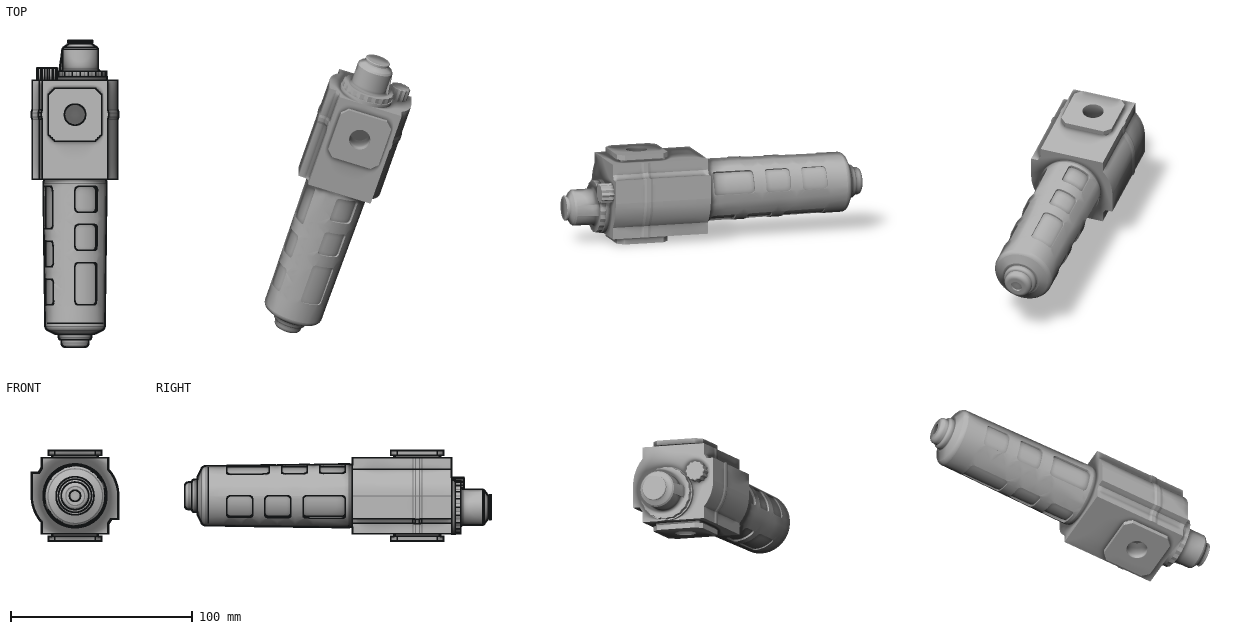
import cadquery as cq
import math


housing_rear_y = 19.0
housing_front_y = -35.8
housing_half_height = 21.0
waist_half_width = 18.1
wing_half_width = 23.7
wing_top_z = 12.5
wing_root_z = 15.1
wing_root_width = 1.7
arc_end_z = 14.5

band_height = 0.42
band_crest_half_width = 1.1
band_base_half_width = 2.5

plate_size = 29.3
plate_thickness = 2.7
plate_corner_chamfer = 3.5
neck_size = 25.8
neck_height = 1.4
neck_corner_chamfer = 0.7
port_diameter = 11.7
port_depth = 13.5

guard_collar_radius = 17.1
guard_rear_radius = 17.6
guard_front_radius = 16.6
guard_collar_length = 2.0
guard_shoulder_y = -116.8
guard_shoulder_mid_radius = 16.1
guard_shoulder_mid_y = -118.2
guard_cone_radius = 15.1
guard_cone_y = -119.2
guard_end_radius = 10.5
guard_end_y = -121.4

window_rows = 4
window_angle = 45.0
window_start_y = -39.7
window_short = 14.2
window_long = 23.4
window_gap = 6.8
window_corner_radius = 2.0
window_cutter_margin = 1.7

bowl_radius = 16.1
bowl_shoulder_y = -115.3
drain_collar_radius = 9.2
drain_nose_radius = 7.6
drain_collar_fillet = drain_collar_radius - drain_nose_radius
drain_nose_fillet = 2.4
drain_nose_start_y = -124.5
drain_tip_y = -128.5
drain_hole_diameter = 6.1
drain_hole_depth = 1.0

dome_x = 2.9
dome_z = -6.3
dome_base_radius = 15.0
dome_ring_radius = 14.5
dome_ring_valley = 14.0
dome_ring_teeth = 20
dome_ring_start_y = 21.0
dome_ring_end_y = 24.0
dome_radius = 10.0
dome_root_fillet = 1.2
dome_round_y = 36.1
dome_cone_radius = 9.3
dome_cone_y = 37.1
dome_neck_radius = 6.5
dome_neck_y = 39.2
dome_lip_radius = 7.0
dome_lip_y = 40.0
dome_lip_chamfer = 0.3
dome_end_y = 41.0

pointer_angle = 33.0
pointer_foot_radius = 11.7

plug_x = -15.5
plug_z = 4.5
plug_radius = 5.6
plug_valley = 5.0
plug_teeth = 12
plug_end_y = 26.0
plug_end_chamfer = 0.3


def extrude_along_y(outline, y_start, y_end):
    """Extrude an outline drawn on the XZ plane from y_start forward to y_end."""
    return outline.extrude(y_start - y_end).translate((0, y_start, 0))


def flank_outline(offset):
    """Housing section on XZ with both flanks moved outward by the offset; it has half-turn symmetry."""
    waist = waist_half_width + offset
    wing = wing_half_width + offset
    step_z = wing_top_z + offset
    root_z = wing_root_z + offset
    root_x = waist + wing_root_width
    arc_run = wing - waist
    arc_radius = (arc_run**2 + arc_end_z**2) / (2 * arc_run)
    half_sweep = math.asin(arc_end_z / arc_radius) / 2
    arc_mid_x = wing - arc_radius * (1 - math.cos(half_sweep))
    arc_mid_z = arc_radius * math.sin(half_sweep)
    top = housing_half_height
    return (
        cq.Workplane("XZ")
        .moveTo(-waist, top)
        .lineTo(-waist, root_z)
        .lineTo(-root_x, step_z)
        .lineTo(-wing, step_z)
        .lineTo(-wing, 0)
        .threePointArc((-arc_mid_x, -arc_mid_z), (-waist, -arc_end_z))
        .lineTo(-waist, -top)
        .lineTo(waist, -top)
        .lineTo(waist, -root_z)
        .lineTo(root_x, -step_z)
        .lineTo(wing, -step_z)
        .lineTo(wing, 0)
        .threePointArc((arc_mid_x, arc_mid_z), (waist, arc_end_z))
        .lineTo(waist, top)
        .close()
    )


def make_band():
    """Band with a flat crest and sloping sides that run down to the housing flanks."""
    crest_wire = flank_outline(band_height).val()
    base_wire = flank_outline(0).val()
    sections = [
        base_wire.translate(cq.Vector(0, -band_base_half_width, 0)),
        crest_wire.translate(cq.Vector(0, -band_crest_half_width, 0)),
        crest_wire.translate(cq.Vector(0, band_crest_half_width, 0)),
        base_wire.translate(cq.Vector(0, band_base_half_width, 0)),
    ]
    return cq.Workplane(cq.Solid.makeLoft(sections, True))


def chamfered_slab(size, z_start, thickness, corner_chamfer):
    """Square slab lying on z_start with its four upright corners chamfered."""
    return (
        cq.Workplane("XY")
        .workplane(offset=z_start)
        .rect(size, size)
        .extrude(thickness)
        .edges("|Z")
        .chamfer(corner_chamfer)
    )


def make_housing():
    body = extrude_along_y(flank_outline(0), housing_rear_y, housing_front_y)
    body = body.union(make_band())
    plate_z = housing_half_height + neck_height
    outer_z = plate_z + plate_thickness
    neck = chamfered_slab(neck_size, housing_half_height, neck_height, neck_corner_chamfer)
    plate = chamfered_slab(plate_size, plate_z, plate_thickness, plate_corner_chamfer)
    port = (
        cq.Workplane("XY")
        .workplane(offset=outer_z - port_depth)
        .circle(port_diameter / 2)
        .extrude(port_depth)
    )
    for turn in (0, 180):
        axis_start, axis_end = (0, 0, 0), (0, 1, 0)
        body = body.union(neck.rotate(axis_start, axis_end, turn))
        body = body.union(plate.rotate(axis_start, axis_end, turn))
        body = body.cut(port.rotate(axis_start, axis_end, turn))
    return body


def make_bowl():
    """Solid of revolution: bowl, drain collar and rounded nose with a shallow hole."""
    collar_round_y = drain_nose_start_y + drain_collar_fillet
    nose_round_y = drain_tip_y + drain_nose_fillet
    diagonal = math.sqrt(0.5)
    nose_round_x = drain_nose_radius - drain_nose_fillet
    bowl = (
        cq.Workplane("XY")
        .moveTo(0, housing_front_y)
        .lineTo(bowl_radius, housing_front_y)
        .lineTo(bowl_radius, bowl_shoulder_y)
        .lineTo(drain_collar_radius, bowl_shoulder_y)
        .lineTo(drain_collar_radius, collar_round_y)
        .threePointArc(
            (
                drain_nose_radius + drain_collar_fillet * diagonal,
                collar_round_y - drain_collar_fillet * diagonal,
            ),
            (drain_nose_radius, drain_nose_start_y),
        )
        .lineTo(drain_nose_radius, nose_round_y)
        .threePointArc(
            (
                nose_round_x + drain_nose_fillet * diagonal,
                nose_round_y - drain_nose_fillet * diagonal,
            ),
            (nose_round_x, drain_tip_y),
        )
        .lineTo(0, drain_tip_y)
        .close()
        .revolve(360, (0, 0), (0, 1))
    )
    hole_outline = cq.Workplane("XZ").circle(drain_hole_diameter / 2)
    return bowl.cut(extrude_along_y(hole_outline, drain_tip_y + drain_hole_depth, drain_tip_y))


def window_cutter(y_rear, length):
    """Sector with radial side walls, clockwise from +X towards -Z, and rounded corners."""
    cutter_outer_radius = guard_rear_radius + window_cutter_margin
    return (
        cq.Workplane("XY")
        .moveTo(bowl_radius, y_rear)
        .lineTo(cutter_outer_radius, y_rear)
        .lineTo(cutter_outer_radius, y_rear - length)
        .lineTo(bowl_radius, y_rear - length)
        .close()
        .revolve(window_angle, (0, 0), (0, 1))
        .edges("%LINE and #Y")
        .fillet(window_corner_radius)
    )


def make_guard(bowl):
    guard = (
        cq.Workplane("XY")
        .moveTo(0, housing_front_y)
        .lineTo(guard_collar_radius, housing_front_y)
        .lineTo(guard_rear_radius, housing_front_y - guard_collar_length)
        .lineTo(guard_front_radius, guard_shoulder_y)
        .threePointArc(
            (guard_shoulder_mid_radius, guard_shoulder_mid_y),
            (guard_cone_radius, guard_cone_y),
        )
        .lineTo(guard_end_radius, guard_end_y)
        .lineTo(0, guard_end_y)
        .close()
        .revolve(360, (0, 0), (0, 1))
    )
    long_at_rear = [window_long, window_short, window_short]
    long_at_front = long_at_rear[::-1]
    for row in range(window_rows):
        y_rear = window_start_y
        for length in long_at_rear if row % 2 == 0 else long_at_front:
            cutter = window_cutter(y_rear, length)
            guard = guard.cut(cutter.rotate((0, 0, 0), (0, 1, 0), row * 360 / window_rows))
            y_rear -= length + window_gap
    return guard.cut(bowl)


def toothed_outline(peak_radius, valley_radius, teeth):
    """Closed zigzag outline on XZ, centred on the origin."""
    points = []
    for corner in range(2 * teeth):
        radius = peak_radius if corner % 2 == 0 else valley_radius
        angle = math.pi * corner / teeth
        points.append((radius * math.sin(angle), radius * math.cos(angle)))
    return cq.Workplane("XZ").polyline(points).close()


def make_dome():
    fillet_offset = dome_root_fillet * (1 - math.sqrt(0.5))
    fillet_end_y = dome_ring_end_y + dome_root_fillet
    base = extrude_along_y(
        cq.Workplane("XZ").circle(dome_base_radius), dome_ring_start_y, housing_rear_y
    )
    ring = extrude_along_y(
        toothed_outline(dome_ring_radius, dome_ring_valley, dome_ring_teeth),
        dome_ring_end_y,
        dome_ring_start_y,
    )
    cap = (
        cq.Workplane("XY")
        .moveTo(0, dome_ring_end_y)
        .lineTo(dome_radius + dome_root_fillet, dome_ring_end_y)
        .threePointArc(
            (dome_radius + fillet_offset, dome_ring_end_y + fillet_offset),
            (dome_radius, fillet_end_y),
        )
        .lineTo(dome_radius, dome_round_y)
        .lineTo(dome_cone_radius, dome_cone_y)
        .lineTo(dome_neck_radius, dome_neck_y)
        .lineTo(dome_neck_radius, dome_lip_y)
        .lineTo(dome_lip_radius, dome_lip_y)
        .lineTo(dome_lip_radius, dome_end_y - dome_lip_chamfer)
        .lineTo(dome_lip_radius - dome_lip_chamfer, dome_end_y)
        .lineTo(0, dome_end_y)
        .close()
        .revolve(360, (0, 0), (0, 1))
    )
    pointer = (
        cq.Workplane("XY")
        .moveTo(0, dome_ring_end_y)
        .lineTo(-pointer_foot_radius, dome_ring_end_y)
        .lineTo(-dome_radius, dome_round_y)
        .lineTo(0, dome_round_y)
        .close()
        .revolve(pointer_angle, (0, 0), (0, 1))
        .rotate((0, 0, 0), (0, 1, 0), -pointer_angle / 2)
    )
    return base.union(ring).union(cap).union(pointer).translate((dome_x, 0, dome_z))


def make_filler_plug():
    outline = toothed_outline(plug_radius, plug_valley, plug_teeth)
    plug = extrude_along_y(outline, plug_end_y, housing_rear_y)
    plug = plug.faces(">Y").chamfer(plug_end_chamfer)
    return plug.translate((plug_x, 0, plug_z))


housing = make_housing()
bowl = make_bowl()
guard = make_guard(bowl)
sight_dome = make_dome()
filler_plug = make_filler_plug()

result = cq.Compound.makeCompound(
    [housing.val(), bowl.val(), guard.val(), sight_dome.val(), filler_plug.val()]
)